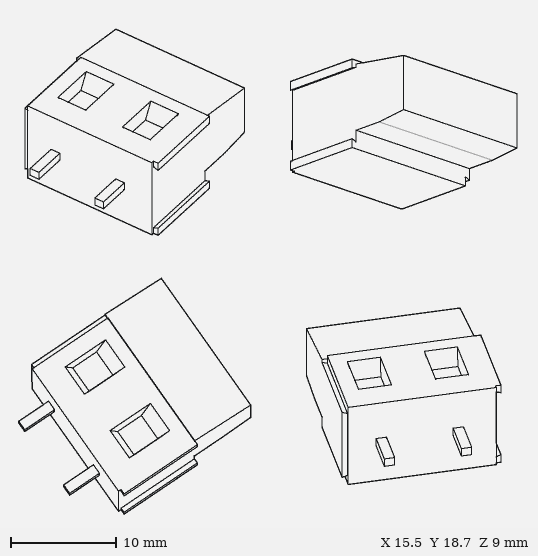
import cadquery as cq

total_width = 15.5
total_length = 18.7
height = 9.0

joint_depth = 0.52
module_pitch = total_width - joint_depth
housing_front = 3.45
housing_back = 12.2
end_step = 0.28
joint_front = housing_front + end_step
joint_edge = 0.71
joint_flare = 0.19

rear_top = 8.62
rear_end_top = 7.75
rear_bottom = 1.89
rear_end_bottom = 2.23
slope_bottom_start = 15.33

pole_count = 2
pole_pitch = 7.52
first_pole_x = 3.75
pin_width = 1.01
pin_height = 0.86

pocket_width = 3.22
pocket_length = 4.65
pocket_center_y = 8.45
floor_width = 2.77
floor_length = 2.75
floor_center_y = 8.2
pocket_depth = 1.42


def box(x_min, x_max, y_min, y_max, z_min, z_max):
    size = (x_max - x_min, y_max - y_min, z_max - z_min)
    return cq.Workplane("XY").box(*size, centered=False).translate((x_min, y_min, z_min))


def dovetail(outer_x):
    """Rail that is widest at outer_x and narrows toward +X."""
    inner_x = outer_x + joint_depth
    inner_edge = joint_edge + joint_flare
    points = [
        (outer_x, joint_edge),
        (inner_x, inner_edge),
        (inner_x, height - inner_edge),
        (outer_x, height - joint_edge),
    ]
    length = housing_back - joint_front
    return (
        cq.Workplane("XZ", origin=(0, housing_back, 0))
        .polyline(points).close().extrude(length)
    )


def rear_body():
    points = [
        (housing_back, rear_bottom),
        (slope_bottom_start, rear_bottom),
        (total_length, rear_end_bottom),
        (total_length, rear_end_top),
        (housing_back, rear_top),
    ]
    return cq.Workplane("YZ").polyline(points).close().extrude(module_pitch)


def pin(center_x):
    half_width = pin_width / 2
    half_height = pin_height / 2
    return box(
        center_x - half_width, center_x + half_width, 0, housing_front,
        height / 2 - half_height, height / 2 + half_height,
    )


def pocket(center_x):
    return (
        cq.Workplane("XY", origin=(center_x, pocket_center_y, height))
        .rect(pocket_width, pocket_length)
        .workplane(offset=-pocket_depth)
        .center(0, floor_center_y - pocket_center_y)
        .rect(floor_width, floor_length)
        .loft(ruled=True)
    )


housing = box(joint_depth, module_pitch, housing_front, housing_back, 0, height)
side_wall = box(module_pitch, total_width, joint_front, housing_back, 0, height)
groove_wall = side_wall.cut(dovetail(module_pitch))

result = housing.union(groove_wall).union(dovetail(0)).union(rear_body())

for pole in range(pole_count):
    pole_x = first_pole_x + pole * pole_pitch
    result = result.union(pin(pole_x)).cut(pocket(pole_x))